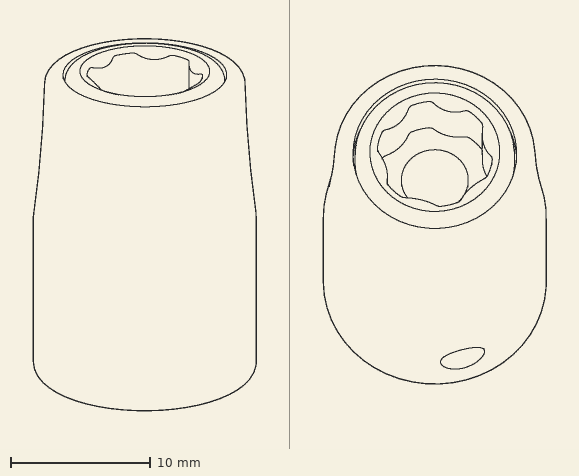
import cadquery as cq
import math

height = 23.3
sleeve_radius = 8.004

sleeve_top = 23.02
taper_start = 11.98
neck_radius = 7.2
taper_hollow = 0.15
sleeve_round = 0.7
core_radius = 5.73
relief_radius = 5.87
relief_depth = 1.16

window_diameter = 3.26
window_height = 4.4

core_round = 0.75
bore_radius = 2.4
lobe_count = 6
lobe_radius = 4.15
valley_radius = 3.6
lobe_half_angle = 11.5
lobe_corner_round = 0.51
socket_depth = 4.9
lead_in_radius = 4.65
lead_in_angle = 30.0


def make_sleeve():
    """Revolved shell with rounded rims, a bore for the core and a side window."""
    round_offset = sleeve_round * math.sqrt(0.5)
    lower_centre = (sleeve_radius - sleeve_round, sleeve_round)
    upper_centre = (neck_radius - sleeve_round, sleeve_top - sleeve_round)
    taper_middle = (
        (sleeve_radius + neck_radius) / 2 - taper_hollow,
        (taper_start + upper_centre[1]) / 2,
    )
    relief_floor = sleeve_top - relief_depth
    sleeve = (
        cq.Workplane("XZ")
        .moveTo(core_radius, 0)
        .lineTo(lower_centre[0], 0)
        .threePointArc(
            (lower_centre[0] + round_offset, lower_centre[1] - round_offset),
            (sleeve_radius, sleeve_round),
        )
        .lineTo(sleeve_radius, taper_start)
        .threePointArc(taper_middle, (neck_radius, upper_centre[1]))
        .threePointArc(
            (upper_centre[0] + round_offset, upper_centre[1] + round_offset),
            (upper_centre[0], sleeve_top),
        )
        .lineTo(relief_radius, sleeve_top)
        .lineTo(relief_radius, relief_floor)
        .lineTo(core_radius, relief_floor)
        .close()
        .revolve(360, (0, 0, 0), (0, 1, 0))
    )
    window = (
        cq.Workplane("XZ")
        .center(0, window_height)
        .circle(window_diameter / 2)
        .extrude(-sleeve_radius)
    )
    return sleeve.cut(window)


def polar_point(radius, degrees):
    angle = math.radians(degrees)
    return (radius * math.cos(angle), radius * math.sin(angle))


def make_socket():
    """Six-lobed cavity, with one lobe pointing along +Y."""
    pitch = 360 / lobe_count
    first_lobe = 90
    outline = cq.Workplane("XY").workplane(offset=height - socket_depth)
    outline = outline.moveTo(*polar_point(lobe_radius, first_lobe - lobe_half_angle))
    for index in range(lobe_count):
        lobe = first_lobe + index * pitch
        outline = outline.threePointArc(
            polar_point(lobe_radius, lobe),
            polar_point(lobe_radius, lobe + lobe_half_angle),
        ).threePointArc(
            polar_point(valley_radius, lobe + pitch / 2),
            polar_point(lobe_radius, lobe + pitch - lobe_half_angle),
        )
    return outline.close().extrude(socket_depth).edges("|Z").fillet(lobe_corner_round)


def make_lead_in():
    """Shallow cone that guides a fastener into the socket."""
    cone_depth = lead_in_radius * math.tan(math.radians(lead_in_angle))
    return (
        cq.Workplane("XZ")
        .moveTo(0, height)
        .lineTo(lead_in_radius, height)
        .lineTo(0, height - cone_depth)
        .close()
        .revolve(360, (0, 0, 0), (0, 1, 0))
    )


def make_core():
    """Cylinder with a rounded top rim, the lobed socket and a through bore."""
    core = cq.Workplane("XY").circle(core_radius).extrude(height)
    core = core.faces(">Z").edges().fillet(core_round)
    bore = cq.Workplane("XY").circle(bore_radius).extrude(height)
    return core.cut(bore).cut(make_socket()).cut(make_lead_in())


sleeve = make_sleeve()
core = make_core()
result = cq.Compound.makeCompound([sleeve.val(), core.val()])